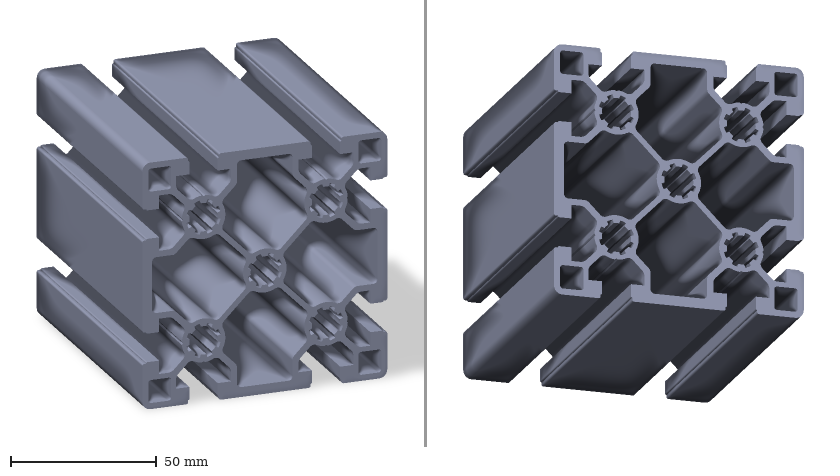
import cadquery as cq
import math

length = 100.0
side = 90.0
half_side = side / 2
corner_radius = 3.0

core_offset = half_side / 2
core_radius = 8.0
core_fillet = 2.0
bore_radius = 5.2
groove_radius = 6.4
groove_width = 2.1
groove_count = 8

slot_half_opening = 5.2
lip_thickness = 6.2
lip_upper_round = 0.7
lip_step_width = 0.5
lip_step_depth = 1.4
chamber_half_width = 10.1
chamber_bend_radius = 3.0
notch_half_width = 0.6
notch_depth = 0.4

slot_web = 2.4
centre_web = 2.0
chamber_wall = 2.2
face_wall = 3.6
hollow_fillet = 1.5
hollow_bend_radius = 2.4

corner_outer_wall = 2.2
corner_inner_wall = 1.8
corner_hollow_fillet = 1.0

ORIGIN = (0, 0)


def polar(centre, radius, degrees):
    """Point on a circle, with the angle measured from +Y towards +Z."""
    angle = math.radians(degrees)
    return (centre[0] + radius * math.cos(angle), centre[1] + radius * math.sin(angle))


def mirrored(point):
    return (-point[0], point[1])


def section():
    return cq.Workplane("YZ")


def prism(outline):
    """Extrude a closed outline over the full length, centred on X = 0."""
    return outline.extrude(length / 2, both=True)


def turned(solid, degrees):
    return solid.rotate((0, 0, 0), (1, 0, 0), degrees)


def fillet_at(solid, points, radius):
    """Round the lengthwise edges that pass through the given (y, z) points."""
    tolerance = 0.1
    for y, z in points:
        near = cq.selectors.BoxSelector(
            (-length, y - tolerance, z - tolerance),
            (length, y + tolerance, z + tolerance),
        )
        solid = solid.edges("|X").edges(near).fillet(radius)
    return solid


def core_joint(web):
    """Fillet from a core at the origin to the upper side of its web at 45 degrees.

    Returns the tangent point on the core, the middle of the fillet and the tangent point on the web.
    """
    reach = core_radius + core_fillet
    direction = 45 + math.degrees(math.asin((web / 2 + core_fillet) / reach))
    centre = polar(ORIGIN, reach, direction)
    core_angle = direction - 180
    web_angle = -45
    angles = (core_angle, (core_angle + web_angle) / 2, web_angle)
    return [polar(centre, core_fillet, angle) for angle in angles]


def web_rise(web):
    """Height of the upper side of a web above its 45 degree centre line."""
    return web / 2 * math.sqrt(2)


def lip_round(edge, top, radius):
    """Convex quarter round on a lip to the right of the slot: (upper end, middle, lower end)."""
    centre = (edge + radius, top - radius)
    return [polar(centre, radius, angle) for angle in (90, 135, 180)]


def slot_cutter():
    """T-slot that opens towards +Z, with its core centred at the origin."""
    mouth = half_side - core_offset
    shelf = mouth - lip_thickness
    bend = (chamber_half_width, chamber_half_width + web_rise(slot_web))
    core_end, joint_middle, web_end = core_joint(slot_web)
    upper_start, upper_middle, upper_end = lip_round(
        slot_half_opening + lip_step_width, mouth, lip_upper_round
    )
    step_start, step_middle, step_end = lip_round(
        slot_half_opening, mouth - lip_step_depth, lip_step_width
    )
    notch_edge = (notch_half_width, math.sqrt(core_radius**2 - notch_half_width**2))
    notch_bottom = (0, core_radius - notch_depth)
    core_angles = [math.degrees(math.atan2(z, y)) for y, z in (core_end, notch_edge)]
    core_middle = polar(ORIGIN, core_radius, sum(core_angles) / 2)

    outline = (
        section()
        .moveTo(*upper_start)
        .threePointArc(upper_middle, upper_end)
        .lineTo(*step_start)
        .threePointArc(step_middle, step_end)
        .lineTo(slot_half_opening, shelf)
        .lineTo(chamber_half_width, shelf)
        .lineTo(*bend)
        .lineTo(*web_end)
        .threePointArc(joint_middle, core_end)
        .threePointArc(core_middle, notch_edge)
        .lineTo(*notch_bottom)
        .lineTo(*mirrored(notch_edge))
        .threePointArc(mirrored(core_middle), mirrored(core_end))
        .threePointArc(mirrored(joint_middle), mirrored(web_end))
        .lineTo(*mirrored(bend))
        .lineTo(-chamber_half_width, shelf)
        .lineTo(-slot_half_opening, shelf)
        .lineTo(*mirrored(step_end))
        .threePointArc(mirrored(step_middle), mirrored(step_start))
        .lineTo(*mirrored(upper_end))
        .threePointArc(mirrored(upper_middle), mirrored(upper_start))
        .close()
    )
    return fillet_at(prism(outline), (bend, mirrored(bend)), chamber_bend_radius)


def hollow_cutter():
    """Large hollow between the centre core, two slot cores and the +Z face."""
    slot_reach = chamber_half_width + chamber_wall
    corner = (core_offset - slot_reach, half_side - face_wall)
    bend = (corner[0], core_offset + slot_reach - web_rise(slot_web))
    centre_core_end, centre_middle, centre_web_end = core_joint(centre_web)

    upper_core_end, upper_middle, upper_web_end = [
        (core_offset - z, core_offset + y) for y, z in core_joint(slot_web)
    ]
    lower_core_end, lower_middle, lower_web_end = [
        (core_offset - z, core_offset - y) for y, z in core_joint(centre_web)
    ]
    slot_core_middle = (core_offset - core_radius, core_offset)
    centre_core_top = (0, core_radius)

    outline = (
        section()
        .moveTo(*mirrored(corner))
        .lineTo(*corner)
        .lineTo(*bend)
        .lineTo(*upper_web_end)
        .threePointArc(upper_middle, upper_core_end)
        .threePointArc(slot_core_middle, lower_core_end)
        .threePointArc(lower_middle, lower_web_end)
        .lineTo(*centre_web_end)
        .threePointArc(centre_middle, centre_core_end)
        .threePointArc(centre_core_top, mirrored(centre_core_end))
        .threePointArc(mirrored(centre_middle), mirrored(centre_web_end))
        .lineTo(*mirrored(lower_web_end))
        .threePointArc(mirrored(lower_middle), mirrored(lower_core_end))
        .threePointArc(mirrored(slot_core_middle), mirrored(upper_core_end))
        .threePointArc(mirrored(upper_middle), mirrored(upper_web_end))
        .lineTo(*mirrored(bend))
        .close()
    )
    hollow = fillet_at(prism(outline), (corner, mirrored(corner)), hollow_fillet)
    return fillet_at(hollow, (bend, mirrored(bend)), hollow_bend_radius)


def bore_cutter():
    """Core bore at the origin, with evenly spaced grooves that leave teeth between them."""
    bore = prism(section().circle(bore_radius))
    groove_limit = prism(section().circle(groove_radius))
    groove_bar = prism(section().rect(4 * groove_radius, groove_width)).intersect(groove_limit)
    pitch = 360 / groove_count
    for i in range(groove_count // 2):
        bore = bore.union(turned(groove_bar, (i + 0.5) * pitch))
    return bore


def corner_hollow_cutter():
    """Square hollow in the +Y +Z corner."""
    outer = half_side - corner_outer_wall
    inner = core_offset + chamber_half_width + corner_inner_wall
    middle = (outer + inner) / 2
    size = outer - inner
    hollow = prism(section().center(middle, middle).rect(size, size))
    return hollow.edges("|X").fillet(corner_hollow_fillet)


bore = bore_cutter()
slot = slot_cutter()
quarter_cutters = [
    slot.translate((0, core_offset, core_offset)),
    slot.translate((0, -core_offset, core_offset)),
    bore.translate((0, core_offset, core_offset)),
    hollow_cutter(),
    corner_hollow_cutter(),
]

result = cq.Workplane("XY").box(length, side, side).edges("|X").fillet(corner_radius)
result = result.cut(bore)
for quarter in range(4):
    for cutter in quarter_cutters:
        result = result.cut(turned(cutter, 90 * quarter))